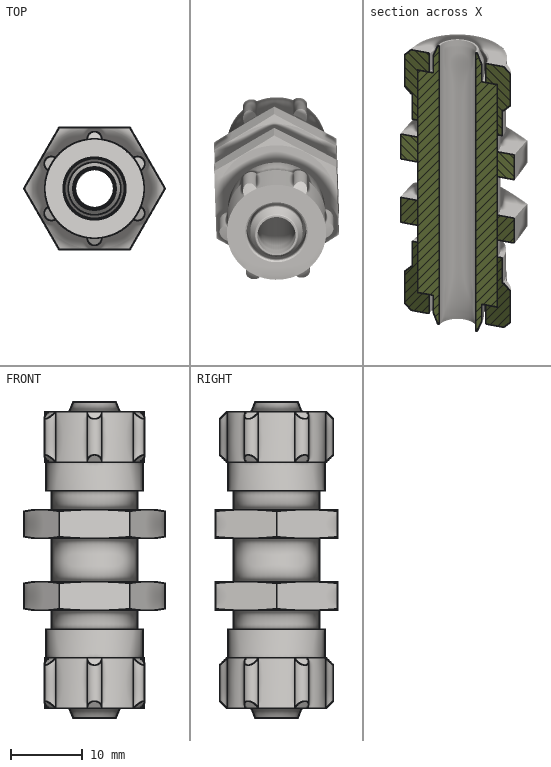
import cadquery as cq
import math


total_length = 44.0
through_bore_dia = 5.3
shaft_dia = 12.0
nozzle_dia = 7.3
nozzle_tip_dia = 6.0
nozzle_taper_length = 1.7
nozzle_edge_chamfer = 0.1

nozzle_projection = 1.4
collar_length = 4.0
collar_dia = 13.5
grip_length = 7.0
grip_dia = 13.8
end_wall = 3.0
mouth_dia = 8.3
mouth_chamfer = 0.2

rib_count = 6
rib_radius = 1.0

nut_across_flats = 17.0
nut_thickness = 4.0
nut_gap = 6.0
nut_face_dia = 16.9
nut_chamfer_angle = 10.0

tip_z = total_length / 2
cap_top_z = tip_z - nozzle_projection
grip_bottom_z = cap_top_z - grip_length
cap_bottom_z = grip_bottom_z - collar_length
shaft_end_z = cap_top_z - end_wall
grip_radius = grip_dia / 2
rib_tip_radius = grip_radius + rib_radius
nut_bottom_z = nut_gap / 2


def revolve_about_z(points):
    """Turn a closed (radius, z) outline around the Z axis."""
    return cq.Workplane("XZ").polyline(points).close().revolve(360, (0, 0, 0), (0, 1, 0))


def make_body():
    bore = through_bore_dia / 2
    tip = nozzle_tip_dia / 2
    upper_outline = [
        (shaft_dia / 2, shaft_end_z),
        (nozzle_dia / 2, shaft_end_z),
        (nozzle_dia / 2, tip_z - nozzle_taper_length),
        (tip, tip_z - nozzle_edge_chamfer),
        (tip - nozzle_edge_chamfer, tip_z),
        (bore, tip_z),
    ]
    lower_outline = [(radius, -z) for radius, z in reversed(upper_outline)]
    return revolve_about_z(upper_outline + lower_outline)


def make_ribs():
    """Full round bars around the grip, trimmed by a bevelled envelope."""
    bars = (
        cq.Workplane("XY", origin=(0, 0, grip_bottom_z))
        .polarArray(grip_radius, 90, 360, rib_count)
        .circle(rib_radius)
        .extrude(grip_length)
    )
    envelope = revolve_about_z([
        (0, grip_bottom_z),
        (grip_radius, grip_bottom_z),
        (rib_tip_radius, grip_bottom_z + rib_radius),
        (rib_tip_radius, cap_top_z - rib_radius),
        (grip_radius, cap_top_z),
        (0, cap_top_z),
    ])
    return bars.intersect(envelope)


def make_cap():
    shell = revolve_about_z([
        (0, cap_bottom_z),
        (collar_dia / 2, cap_bottom_z),
        (collar_dia / 2, grip_bottom_z),
        (grip_radius, grip_bottom_z),
        (grip_radius, cap_top_z),
        (0, cap_top_z),
    ])
    cavity = revolve_about_z([
        (0, cap_bottom_z),
        (shaft_dia / 2, cap_bottom_z),
        (shaft_dia / 2, shaft_end_z),
        (mouth_dia / 2, shaft_end_z),
        (mouth_dia / 2, cap_top_z - mouth_chamfer),
        (mouth_dia / 2 + mouth_chamfer, cap_top_z),
        (0, cap_top_z),
    ])
    return shell.union(make_ribs()).cut(cavity)


def make_nut():
    corner_radius = nut_across_flats / math.sqrt(3)
    face_radius = nut_face_dia / 2
    corner_drop = (corner_radius - face_radius) * math.tan(math.radians(nut_chamfer_angle))
    nut_top_z = nut_bottom_z + nut_thickness
    hexagon = (
        cq.Workplane("XY", origin=(0, 0, nut_bottom_z))
        .polygon(6, 2 * corner_radius)
        .circle(shaft_dia / 2)
        .extrude(nut_thickness)
    )
    envelope = revolve_about_z([
        (0, nut_bottom_z),
        (face_radius, nut_bottom_z),
        (corner_radius, nut_bottom_z + corner_drop),
        (corner_radius, nut_top_z - corner_drop),
        (face_radius, nut_top_z),
        (0, nut_top_z),
    ])
    return hexagon.intersect(envelope)


solids = [make_body().val()]
for make_end_part in (make_cap, make_nut):
    upper = make_end_part()
    lower = upper.mirror("XY")
    solids += [*upper.vals(), *lower.vals()]

result = cq.Compound.makeCompound(solids)